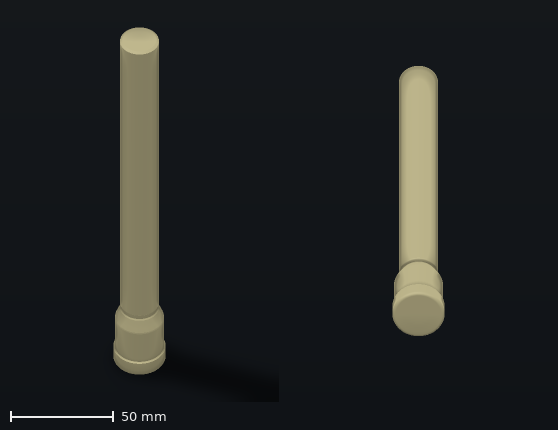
import cadquery as cq

total_length = 216.0

head_diameter = 25.5
head_height = 8.9
head_fillet = 1.5
head_bevel_height = 0.6

body_diameter = 24.0
body_top = 27.9
shoulder_fillet = 2.2
cone_top = 34.3
neck_diameter = 18.0
neck_bevel_height = 0.6
shank_bottom = 37.8
shank_diameter = 19.0
shank_chamfer_width = 1.3
shank_chamfer_height = 0.9

body_radius = body_diameter / 2
neck_radius = neck_diameter / 2
shank_radius = shank_diameter / 2


def make_head():
    """Disc whose upper rim is bevelled in to the body and whose lower rim is rounded."""
    disc = cq.Workplane("XY").circle(head_diameter / 2).extrude(head_height)
    bevel_width = head_diameter / 2 - body_radius
    disc = disc.faces(">Z").edges().chamfer(head_bevel_height, bevel_width)
    return disc.faces("<Z").edges().fillet(head_fillet)


def make_holder():
    """Turned holder standing on the flat top of the head."""
    profile = (
        cq.Workplane("XZ")
        .moveTo(0, head_height)
        .lineTo(body_radius, head_height)
        .lineTo(body_radius, body_top)
        .lineTo(shank_radius, cone_top)
        .lineTo(neck_radius, cone_top + neck_bevel_height)
        .lineTo(neck_radius, shank_bottom - neck_bevel_height)
        .lineTo(shank_radius, shank_bottom)
        .lineTo(shank_radius, total_length - shank_chamfer_height)
        .lineTo(shank_radius - shank_chamfer_width, total_length)
        .lineTo(0, total_length)
        .close()
    )
    holder = profile.revolve(360, (0, 0, 0), (0, 1, 0))
    widest_edges = holder.edges("%CIRCLE").edges(cq.selectors.RadiusNthSelector(-1))
    shoulder_edge = widest_edges.edges(">Z")
    return shoulder_edge.fillet(shoulder_fillet)


head = make_head()
holder = make_holder()

result = cq.Compound.makeCompound([head.val(), holder.val()])